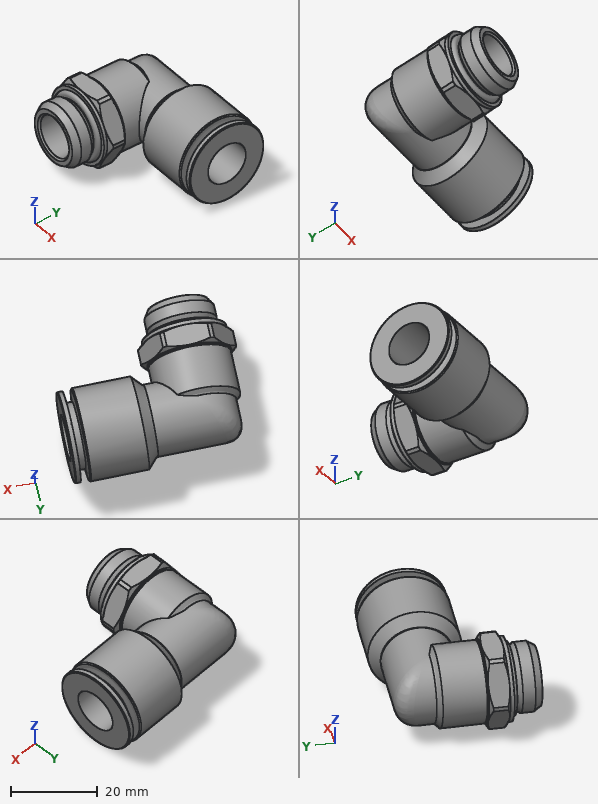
import cadquery as cq
import math


arm_radius = 8.55
corner_direction = 135
corner_tangent = 4.45
bore_radius = 5.5
bore_mouth_radius = 5.95
bore_chamfer = bore_mouth_radius - bore_radius
contact_tolerance = 0.005

arm_end = 11.9
arm_groove_radius = 8.35
cone_start = 12.2
cone_end = 14.55
socket_radius = 11.0
socket_end = 28.52
socket_edge = 0.3
lip_radius = 9.65
lip_end = 28.82
ring_neck_radius = 7.95
ring_flange_start = 30.6
ring_flange_radius = 10.75
ring_end = 31.95
ring_edge = 0.2

sleeve_top = 0.9
sleeve_cone_start = 1.3
sleeve_cone_radius = 8.8
sleeve_cone_end = 2.15
sleeve_radius = 9.75
sleeve_end = 12.6
neck_radius = 9.5
hex_start = 13.0
hex_end = 17.95
hex_flats = 19.95
hex_corner_radius = 11.2
hex_chamfer_angle = math.radians(30)
collar_radius = 10.0
collar_end = 18.9
seal_radius = 9.0
seal_end = 19.9
seal_fillet = 0.85
undercut_radius = 7.42
thread_start = 20.02
thread_full_start = 21.2
thread_radius = 8.3
thread_taper_start = 24.15
thread_tip_radius = 7.15
leg_end = 25.98


def revolve_leg(profile):
    """Revolve closed (radius, station) points around the leg axis."""
    points = [(radius, -station) for radius, station in profile]
    return cq.Workplane("XY").polyline(points).close().revolve(360, (0, 0), (0, 1))


def prism(points):
    """Slab over an XY outline, tall enough to span the elbow in Z."""
    return cq.Workplane("XY").polyline(points).close().extrude(2 * arm_radius, both=True)


def elbow_corner():
    """Two mitred cylinders joined by an ellipsoid wedge tangent to both."""
    reach = 2 * arm_radius
    side = reach * corner_tangent / arm_radius
    wedge = prism([(0, 0), (-side, reach), (-reach, reach), (-reach, side)])
    arm_zone = prism([(0, 0), (-side, reach), (arm_end, reach), (arm_end, -arm_end)])
    leg_zone = prism([(0, 0), (-reach, side), (-reach, -arm_end), (arm_end, -arm_end)])

    arm_length = 2 * reach
    arm = cq.Workplane("YZ", origin=(-reach, 0, 0)).circle(arm_radius).extrude(arm_length)
    leg = cq.Workplane("XZ", origin=(0, reach, 0)).circle(arm_radius).extrude(arm_length)

    slant = corner_tangent / arm_radius
    long_scale = math.sqrt(1 + slant)
    short_scale = math.sqrt(1 - slant)
    stretch = cq.Matrix([[long_scale, 0, 0, 0], [0, short_scale, 0, 0], [0, 0, 1, 0]])
    sphere = cq.Workplane("XY").sphere(arm_radius).val()
    ellipsoid = cq.Workplane(sphere.transformGeometry(stretch)).rotate((0, 0, 0), (0, 0, 1), corner_direction)

    pieces = [arm.intersect(arm_zone), leg.intersect(leg_zone), ellipsoid.intersect(wedge)]
    center = cq.Vertex.makeVertex(0, 0, 0)
    skin = [
        face
        for piece in pieces
        for face in piece.faces().vals()
        if face.distance(center) > contact_tolerance
    ]
    return cq.Workplane(cq.Solid.makeSolid(cq.Shell.makeShell(skin)))


def tube_socket():
    """Socket body, release-ring neck and release-ring flange."""
    profile = [
        (arm_end, 0),
        (arm_end, arm_groove_radius),
        (cone_start, arm_radius),
        (cone_end, socket_radius),
        (socket_end - socket_edge, socket_radius),
        (socket_end, socket_radius - socket_edge),
        (socket_end, lip_radius),
        (lip_end, ring_neck_radius),
        (ring_flange_start, ring_neck_radius),
        (ring_flange_start, ring_flange_radius),
        (ring_end - ring_edge, ring_flange_radius),
        (ring_end, ring_flange_radius - ring_edge),
        (ring_end, 0),
    ]
    return cq.Workplane("XY").polyline(profile).close().revolve(360, (0, 0), (1, 0))


def sleeve():
    """Sleeve around the leg, with a tapered upper edge and a short neck."""
    return revolve_leg([
        (0, sleeve_top),
        (arm_radius, sleeve_top),
        (sleeve_cone_radius, sleeve_cone_start),
        (sleeve_radius, sleeve_cone_end),
        (sleeve_radius, sleeve_end),
        (neck_radius, sleeve_end),
        (neck_radius, hex_start),
        (0, hex_start),
    ])


def hex_nut():
    """Hexagon with corners on X, rounded and chamfered at both ends."""
    hexagon = (
        cq.Workplane("XZ", origin=(0, -hex_start, 0))
        .polygon(6, hex_flats / math.cos(math.pi / 6))
        .extrude(hex_end - hex_start)
    )
    end_radius = hex_flats / 2
    drop = (hex_corner_radius - end_radius) * math.tan(hex_chamfer_angle)
    envelope = revolve_leg([
        (0, hex_start),
        (end_radius, hex_start),
        (hex_corner_radius, hex_start + drop),
        (hex_corner_radius, hex_end - drop),
        (end_radius, hex_end),
        (0, hex_end),
    ])
    return hexagon.intersect(envelope)


def threaded_end():
    """Collar, seal seat, undercut and thread blank."""
    return revolve_leg([
        (0, hex_end),
        (collar_radius, hex_end),
        (collar_radius, collar_end),
        (undercut_radius, collar_end),
        (undercut_radius, thread_start),
        (thread_radius, thread_full_start),
        (thread_radius, thread_taper_start),
        (thread_tip_radius, leg_end),
        (0, leg_end),
    ])


def seal_ring():
    """Ring below the collar with a rounded outer edge."""
    ring = revolve_leg([
        (0, collar_end),
        (seal_radius, collar_end),
        (seal_radius, seal_end),
        (0, seal_end),
    ])
    return ring.faces("<Y").edges().fillet(seal_fillet)


def bore():
    """L-shaped passage with a chamfered mouth at the threaded end."""
    arm_bore = (
        cq.Workplane("YZ", origin=(-bore_radius, 0, 0))
        .circle(bore_radius)
        .extrude(bore_radius + ring_end)
    )
    leg_bore = revolve_leg([
        (0, 0),
        (bore_radius, 0),
        (bore_radius, leg_end - bore_chamfer),
        (bore_mouth_radius, leg_end),
        (0, leg_end),
    ])
    return arm_bore.union(leg_bore)


body = elbow_corner().union(tube_socket()).union(sleeve())
body = body.union(hex_nut()).union(threaded_end()).union(seal_ring())
result = body.cut(bore())